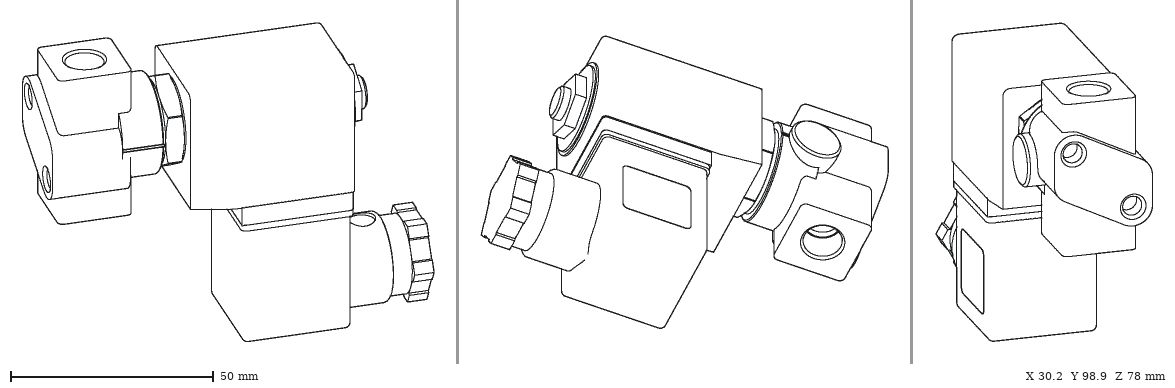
import cadquery as cq
import math


front_y = -12.2
lug_back_y = 8.0
collar_front_y = 5.9
collar_back_y = 16.6
nut_front_y = 17.6
nut_back_y = 22.4
coil_front_y = 22.8
coil_back_y = 65.6
rear_flange_end_y = 66.0
rear_washer_end_y = 66.6
rear_nut_end_y = 69.6
stem_end_y = 72.1
nose_end_y = 76.7
cap_front_y = 81.7
plug_end_y = 86.7

block_side = 19.1
block_height = 39.9
block_corner_radius = 1.5
port_diameter = 9.7
port_mouth_diameter = 11.0
port_depth = 7.9
port_core_diameter = 9.1
port_core_depth = 9.9
screw_offset = 7.7
lug_radius = 5.0
screw_hole_diameter = 4.9
screw_mouth_diameter = 6.6
screw_hole_depth = 4.9
drill_point_angle = 118.0
collar_diameter = 25.9
collar_chamfer = 0.3
rib_width = 0.7
rib_span = 26.4
boss_diameter = 13.2
boss_face_x = -15.2
boss_chamfer = 0.6
neck_diameter = 22.1
nut_across_flats = 22.1
nut_corner_diameter = 25.4
nut_chamfer_length = 0.6
stem_diameter = 8.4
stem_tip_diameter = 7.2
rear_flange_diameter = 24.2
rear_washer_diameter = 22.3
rear_nut_across_flats = 14.0

coil_width = 30.1
coil_top_z = 13.6
coil_bottom_z = -19.5
coil_slope_rise = 1.6
coil_slope_start_y = 34.1
coil_top_radius = 2.0
coil_back_radius = 1.2
base_width = 29.4
base_front_y = 36.3
base_back_y = 65.4
base_bottom_z = -24.6

plug_flange_bottom_z = -26.3
plug_flange_corner_radius = 1.5
plug_width = 28.2
plug_front_y = 36.8
plug_back_y = 64.8
plug_bottom_z = -58.0
plug_edge_radius = 1.5
nose_diameter = 22.9
nose_edge_radius = 1.2
nose_z = plug_bottom_z + nose_diameter / 2
cap_neck_diameter = 20.2
cap_across_flats = 21.1
cap_notch_mouth_width = 6.0
cap_notch_floor_width = 5.3
cap_notch_depth = (cap_across_flats - cap_neck_diameter) / 2
dimple_diameter = 7.0
dimple_y = 71.6
dimple_depth = 1.0
panel_length = 18.3
panel_height = 16.9
panel_y = 50.7
panel_z = -43.9
panel_corner_radius = 1.5
panel_depth = 0.1


def y_plane(y, z=0.0):
    """Plane facing +Y at the given station; its local y axis is +Z."""
    return cq.Plane(origin=(0, y, z), xDir=(-1, 0, 0), normal=(0, 1, 0))


def y_cylinder(diameter, start_y, end_y, z=0.0):
    return cq.Workplane(y_plane(start_y, z)).circle(diameter / 2).extrude(end_y - start_y)


def y_hexagon(across_flats, start_y, end_y, z=0.0, corner_angle=0.0):
    """Hexagonal prism along Y with one corner turned corner_angle degrees from the X axis."""
    corner_diameter = across_flats / math.cos(math.pi / 6)
    prism = cq.Workplane(y_plane(start_y, z)).polygon(6, corner_diameter).extrude(end_y - start_y)
    return prism.rotate((0, 0, z), (0, 1, z), corner_angle)


def box_between(width, start_y, end_y, bottom_z, top_z):
    """Box centred on X."""
    box = cq.Workplane("XY").box(width, end_y - start_y, top_z - bottom_z)
    return box.translate((0, (start_y + end_y) / 2, (bottom_z + top_z) / 2))


def port_block():
    block = cq.Workplane("XY").box(block_side, block_side, block_height)
    return block.edges("|Z").fillet(block_corner_radius)


def screw_lug():
    """Slanted lug: a parallelogram rounded by the radius around its corners."""
    corners = [
        (screw_offset, screw_offset),
        (screw_offset, 0),
        (-screw_offset, -screw_offset),
        (-screw_offset, 0),
    ]
    outline = cq.Workplane(y_plane(front_y)).polyline(corners).close().offset2D(lug_radius)
    return outline.extrude(lug_back_y - front_y)


def collar():
    """Round collar behind the block with a thin rib down each side."""
    length = collar_back_y - collar_front_y
    ring = y_cylinder(collar_diameter, collar_front_y, collar_back_y)
    ribs = cq.Workplane(y_plane(collar_front_y)).rect(rib_span, rib_width).extrude(length)
    return ring.faces(">Y").chamfer(collar_chamfer).union(ribs)


def side_boss():
    boss = cq.Workplane("YZ", origin=(boss_face_x, lug_back_y, 0))
    boss = boss.circle(boss_diameter / 2).extrude(-boss_face_x)
    return boss.faces("<X").chamfer(boss_chamfer)


def front_nut():
    """Hexagon nut with both ends chamfered down to its flats."""
    hexagon = y_hexagon(nut_across_flats, nut_front_y, nut_back_y, corner_angle=90)
    corner_radius = nut_corner_diameter / 2
    half_profile = [
        (0, nut_front_y),
        (nut_across_flats / 2, nut_front_y),
        (corner_radius, nut_front_y + nut_chamfer_length),
        (corner_radius, nut_back_y - nut_chamfer_length),
        (nut_across_flats / 2, nut_back_y),
        (0, nut_back_y),
    ]
    envelope = cq.Workplane("XY").polyline(half_profile).close()
    return hexagon.intersect(envelope.revolve(360, (0, 0, 0), (0, 1, 0)))


def stem():
    """Stem through the coil, with the neck on its front end and the nut on its rear end."""
    tip_chamfer = (stem_diameter - stem_tip_diameter) / 2
    rod = y_cylinder(stem_diameter, collar_front_y, stem_end_y).faces(">Y").chamfer(tip_chamfer)
    neck = y_cylinder(neck_diameter, collar_front_y, coil_front_y)
    flange = y_cylinder(rear_flange_diameter, coil_back_y, rear_flange_end_y)
    washer = y_cylinder(rear_washer_diameter, rear_flange_end_y, rear_washer_end_y)
    nut = y_hexagon(rear_nut_across_flats, rear_washer_end_y, rear_nut_end_y, corner_angle=90)
    return rod.union(neck).union(flange).union(washer).union(nut)


def port_hole(top_sign):
    """Cutter for the stepped, chamfered port in the top (+1) or bottom (-1) face of the block."""
    mouth_chamfer = (port_mouth_diameter - port_diameter) / 2
    mouth_z = block_height / 2
    half_profile = [
        (0, mouth_z),
        (port_mouth_diameter / 2, mouth_z),
        (port_diameter / 2, mouth_z - mouth_chamfer),
        (port_diameter / 2, mouth_z - port_depth),
        (port_core_diameter / 2, mouth_z - port_depth),
        (port_core_diameter / 2, mouth_z - port_core_depth),
        (0, mouth_z - port_core_depth),
    ]
    cutter = cq.Workplane("XZ").polyline(half_profile).close()
    cutter = cutter.revolve(360, (0, 0, 0), (0, 1, 0))
    return cutter if top_sign > 0 else cutter.mirror("XY")


def screw_hole(x, z):
    """Cutter for a countersunk blind hole with a drill point, opening on the front face."""
    radius = screw_hole_diameter / 2
    mouth_radius = screw_mouth_diameter / 2
    point_length = radius / math.tan(math.radians(drill_point_angle / 2))
    half_profile = [
        (0, 0),
        (mouth_radius, 0),
        (radius, mouth_radius - radius),
        (radius, screw_hole_depth),
        (0, screw_hole_depth + point_length),
    ]
    cutter = cq.Workplane("XY").polyline(half_profile).close()
    return cutter.revolve(360, (0, 0, 0), (0, 1, 0)).translate((x, front_y, z))


def make_valve():
    valve = port_block().union(screw_lug()).union(collar()).union(side_boss())
    valve = valve.union(stem()).union(front_nut())
    for sign in (1, -1):
        valve = valve.cut(port_hole(sign))
        valve = valve.cut(screw_hole(-sign * screw_offset, sign * screw_offset))
    return valve


def make_coil():
    """Coil housing with a sloped underside at the front and a base for the plug."""
    side_outline = [
        (coil_front_y, coil_top_z),
        (coil_back_y, coil_top_z),
        (coil_back_y, coil_bottom_z),
        (coil_slope_start_y, coil_bottom_z),
        (coil_front_y, coil_bottom_z + coil_slope_rise),
    ]
    housing = cq.Workplane("YZ").polyline(side_outline).close().extrude(coil_width / 2, both=True)
    housing = housing.edges("|Y and >Z").fillet(coil_top_radius)
    housing = housing.faces(">Y").edges("not <Z").fillet(coil_back_radius)

    base = box_between(base_width, base_front_y, base_back_y, base_bottom_z, coil_bottom_z)
    base = base.edges("|Z and >Y").fillet(coil_back_radius)

    bore = y_cylinder(stem_diameter, coil_front_y, coil_back_y)
    return housing.union(base).cut(bore)


def plug_housing():
    flange = box_between(base_width, base_front_y, base_back_y, plug_flange_bottom_z, base_bottom_z)
    flange = flange.edges("|Z").fillet(plug_flange_corner_radius)
    housing = box_between(plug_width, plug_front_y, plug_back_y, plug_bottom_z, plug_flange_bottom_z)
    housing = housing.edges("|Z").fillet(plug_edge_radius)
    housing = housing.faces("<Z").edges().fillet(plug_edge_radius)
    return housing.union(flange)


def side_panel():
    """Cutter for the shallow rounded panel in the -X side of the housing."""
    panel = cq.Workplane("YZ", origin=(-plug_width / 2, panel_y, panel_z))
    panel = panel.rect(panel_length, panel_height).extrude(panel_depth)
    return panel.edges("|X").fillet(panel_corner_radius)


def cable_nose():
    """Round cable outlet with a dimple in its top."""
    root_y = plug_back_y - nose_diameter / 2
    nose = y_cylinder(nose_diameter, root_y, nose_end_y, nose_z)
    nose = nose.faces(">Y").edges().fillet(nose_edge_radius)
    dimple_floor_z = nose_z + nose_diameter / 2 - dimple_depth
    dimple = cq.Workplane("XY", origin=(0, dimple_y, dimple_floor_z))
    return nose.cut(dimple.circle(dimple_diameter / 2).extrude(2 * dimple_depth))


def gland_cap():
    """Hexagonal cap with a shallow splayed notch along the middle of each flat."""
    cap = y_hexagon(cap_across_flats, cap_front_y, plug_end_y, nose_z)
    mouth_z = cap_across_flats / 2
    floor_z = mouth_z - cap_notch_depth
    notch_outline = [
        (-cap_notch_mouth_width / 2, mouth_z),
        (cap_notch_mouth_width / 2, mouth_z),
        (cap_notch_floor_width / 2, floor_z),
        (-cap_notch_floor_width / 2, floor_z),
    ]
    notch = cq.Workplane(y_plane(cap_front_y, nose_z)).polyline(notch_outline).close()
    notch = notch.extrude(plug_end_y - cap_front_y)
    for flat in range(6):
        cap = cap.cut(notch.rotate((0, 0, nose_z), (0, 1, nose_z), 60 * flat))
    return cap


def make_plug():
    neck = y_cylinder(cap_neck_diameter, plug_back_y, cap_front_y, nose_z)
    return plug_housing().cut(side_panel()).union(cable_nose()).union(neck).union(gland_cap())


valve = make_valve()
coil = make_coil()
plug = make_plug()

result = cq.Compound.makeCompound([valve.val(), coil.val(), plug.val()])